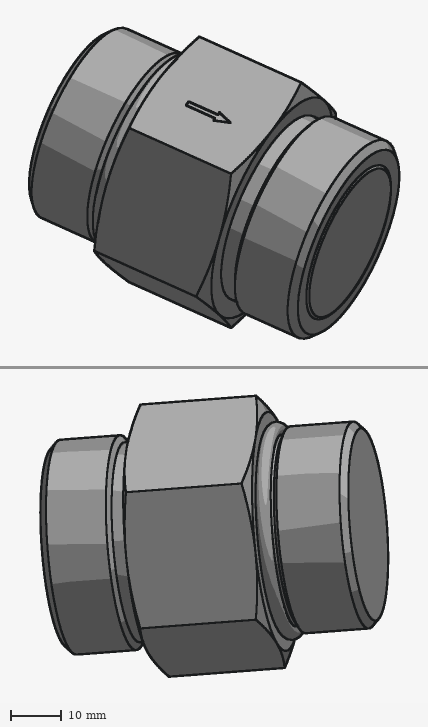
import cadquery as cq
import math


total_length = 62.69
hex_start = 18.55
hex_end = 44.7
left_thread_end = 14.27
right_thread_start = 48.73
insert_protrusion = 0.34
housing_end = total_length - insert_protrusion

left_thread_diameter = 41.27
left_relief_diameter = 38.33
right_thread_diameter = 42.85
right_relief_diameter = 39.88

across_flats = 47.62
across_corners = across_flats / math.cos(math.radians(30))
hex_chamfer_angle = 20.0
hex_chamfer_length = (across_corners - across_flats) / 2 * math.tan(math.radians(hex_chamfer_angle))

steep_slope = math.tan(math.radians(60))

left_thread_depth = (left_thread_diameter - left_relief_diameter) / 2
right_thread_depth = (right_thread_diameter - right_relief_diameter) / 2

o_ring_section = 3.0
o_ring_inner_diameter = 37.47
o_ring_center_radius = (o_ring_inner_diameter + o_ring_section) / 2
o_ring_center_x = hex_start - o_ring_section / 2

insert_diameter = 33.25
insert_depth = 10.0
insert_bevel = insert_protrusion * steep_slope

arrow_tail_x = 26.6
arrow_neck_x = 33.3
arrow_tip_x = 36.5
arrow_center_y = -2.35
arrow_shaft_width = 1.1
arrow_head_width = 2.4
arrow_depth = 0.2


def revolve_about_x(profile_points):
    """Turn a closed outline of (x, radius) points about the X axis."""
    outline = cq.Workplane("XY").polyline(profile_points).close()
    return outline.revolve(360, (0, 0, 0), (1, 0, 0))


def make_hexagon():
    """Hexagon prism along X with flats facing +Z and -Z and conically chamfered ends."""
    prism = (
        cq.Workplane("YZ", origin=(hex_start, 0, 0))
        .polygon(6, across_corners)
        .extrude(hex_end - hex_start)
    )
    trimming_solid = revolve_about_x([
        (hex_start, 0),
        (hex_start, across_flats / 2),
        (hex_start + hex_chamfer_length, across_corners / 2),
        (hex_end - hex_chamfer_length, across_corners / 2),
        (hex_end, across_flats / 2),
        (hex_end, 0),
    ])
    return prism.intersect(trimming_solid)


def make_threaded_ends():
    """Round stock running through the hexagon, with both threaded ends and their reliefs."""
    left_relief_radius = left_relief_diameter / 2
    left_thread_radius = left_thread_diameter / 2
    right_relief_radius = right_relief_diameter / 2
    right_thread_radius = right_thread_diameter / 2
    middle_x = (hex_start + hex_end) / 2
    return revolve_about_x([
        (0, 0),
        (0, left_relief_radius),
        (left_thread_depth, left_thread_radius),
        (left_thread_end, left_thread_radius),
        (left_thread_end + left_thread_depth / steep_slope, left_relief_radius),
        (middle_x, left_relief_radius),
        (middle_x, right_relief_radius),
        (right_thread_start - right_thread_depth / steep_slope, right_relief_radius),
        (right_thread_start, right_thread_radius),
        (housing_end - right_thread_depth, right_thread_radius),
        (housing_end, right_relief_radius),
        (housing_end, 0),
    ])


def make_arrow():
    """Flow arrow pointing along +X, as the block to be sunk into the top flat."""
    shaft_half = arrow_shaft_width / 2
    head_half = arrow_head_width / 2
    return (
        cq.Workplane("XY", origin=(0, arrow_center_y, across_flats / 2 - arrow_depth))
        .polyline([
            (arrow_tail_x, -shaft_half),
            (arrow_neck_x, -shaft_half),
            (arrow_neck_x, -head_half),
            (arrow_tip_x, 0),
            (arrow_neck_x, head_half),
            (arrow_neck_x, shaft_half),
            (arrow_tail_x, shaft_half),
        ])
        .close()
        .extrude(arrow_depth)
    )


def make_o_ring():
    """Round-section ring around the left relief, touching the hexagon face."""
    return (
        cq.Workplane("XY")
        .center(o_ring_center_x, o_ring_center_radius)
        .circle(o_ring_section / 2)
        .revolve(360, (0, -o_ring_center_radius, 0), (1, -o_ring_center_radius, 0))
    )


def make_insert():
    """Plug set into the right end, with its bevelled rim standing out of the housing."""
    insert_radius = insert_diameter / 2
    return revolve_about_x([
        (housing_end - insert_depth, 0),
        (housing_end - insert_depth, insert_radius),
        (housing_end, insert_radius),
        (total_length, insert_radius - insert_bevel),
        (total_length, 0),
    ])


def make_housing():
    """Hexagon body with a seat for the O-ring, a bore for the insert and the flow arrow."""
    body = make_threaded_ends().union(make_hexagon())
    return body.cut(make_o_ring()).cut(make_insert()).cut(make_arrow()).solids()


housing = make_housing()
o_ring = make_o_ring()
insert = make_insert()

result = cq.Compound.makeCompound([housing.val(), o_ring.val(), insert.val()])